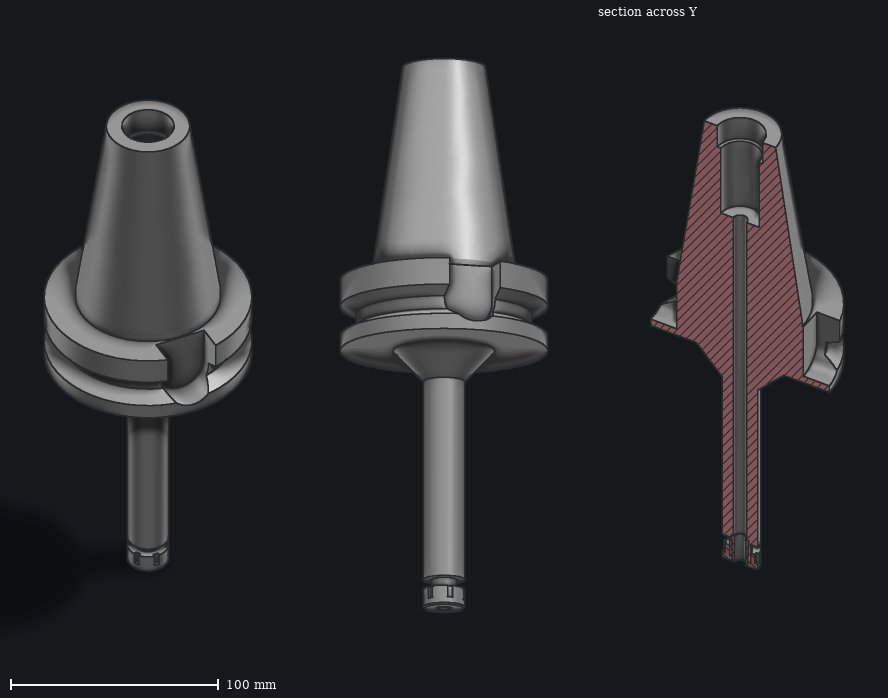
import cadquery as cq

TOTAL_HEIGHT = 266.8

TAPER_LENGTH = 102.0
GAUGE_DIAMETER = 70.0
TAPER_RATIO = 7 / 24
TAPER_TOP_DIAMETER = GAUGE_DIAMETER - TAPER_LENGTH * TAPER_RATIO
GAUGE_Z = TOTAL_HEIGHT - TAPER_LENGTH
COLLAR_LENGTH = 3.0

FLANGE_DIAMETER = 100.0
FLANGE_THICKNESS = 35.0
FLANGE_TOP_Z = GAUGE_Z - COLLAR_LENGTH
FLANGE_BOTTOM_Z = FLANGE_TOP_Z - FLANGE_THICKNESS
GROOVE_DIAMETER = 84.5
GROOVE_CENTRE_DEPTH = 20.3
GROOVE_CENTRE_Z = FLANGE_TOP_Z - GROOVE_CENTRE_DEPTH
GROOVE_FLOOR_WIDTH = 6.5
GROOVE_MOUTH_WIDTH = 14.5

KEY_WIDTH = 25.5
KEY_DEPTH_FROM_TOP = 30.7
KEY_FLOOR_X = 35.5

CONE_TOP_DIAMETER = 49.0
CONE_HEIGHT = 15.2
SHANK_DIAMETER = 20.0
SHANK_BOTTOM_Z = 14.1
NECK_DIAMETER = 12.0

MOUTH_DIAMETER = 25.0
MOUTH_DEPTH = 13.0
THREAD_DIAMETER = 21.0
THREAD_FLOOR_DEPTH = 53.4
COOLANT_DIAMETER = 7.5

NUT_DIAMETER = 20.0
NUT_HEIGHT = 9.3
NUT_CHAMFER = 0.8
NUT_SLOT_COUNT = 6
NUT_SLOT_WIDTH = 2.7
NUT_SLOT_LENGTH = 5.5
NUT_SLOT_DEPTH = 1.5

COLLET_FACE_DIAMETER = 8.0
COLLET_TOP_DIAMETER = 9.5
COLLET_LENGTH = 16.0
COLLET_BORE_DIAMETER = 6.0
NECK_BOTTOM_Z = 2.7


def cylinder(diameter, bottom, top):
    return cq.Workplane("XY").workplane(offset=bottom).circle(diameter / 2).extrude(top - bottom)


def revolve_profile(points):
    """Revolve a closed (radius, z) outline about the Z axis."""
    return cq.Workplane("XZ").polyline(points).close().revolve(360, (0, 0, 0), (0, 1, 0))


def holder_blank():
    flange_radius = FLANGE_DIAMETER / 2
    groove_radius = GROOVE_DIAMETER / 2
    return revolve_profile([
        (0, TOTAL_HEIGHT),
        (TAPER_TOP_DIAMETER / 2, TOTAL_HEIGHT),
        (GAUGE_DIAMETER / 2, GAUGE_Z),
        (GAUGE_DIAMETER / 2, FLANGE_TOP_Z),
        (flange_radius, FLANGE_TOP_Z),
        (flange_radius, GROOVE_CENTRE_Z + GROOVE_MOUTH_WIDTH / 2),
        (groove_radius, GROOVE_CENTRE_Z + GROOVE_FLOOR_WIDTH / 2),
        (groove_radius, GROOVE_CENTRE_Z - GROOVE_FLOOR_WIDTH / 2),
        (flange_radius, GROOVE_CENTRE_Z - GROOVE_MOUTH_WIDTH / 2),
        (flange_radius, FLANGE_BOTTOM_Z),
        (CONE_TOP_DIAMETER / 2, FLANGE_BOTTOM_Z),
        (SHANK_DIAMETER / 2, FLANGE_BOTTOM_Z - CONE_HEIGHT),
        (SHANK_DIAMETER / 2, SHANK_BOTTOM_Z),
        (NECK_DIAMETER / 2, SHANK_BOTTOM_Z),
        (NECK_DIAMETER / 2, NECK_BOTTOM_Z),
        (0, NECK_BOTTOM_Z),
    ])


def key_slot(side):
    """Round-bottomed slot open to the flange top and rim; side is +1 or -1 along X."""
    radius = KEY_WIDTH / 2
    arc_centre_z = FLANGE_TOP_Z - KEY_DEPTH_FROM_TOP + radius
    return (
        cq.Workplane("YZ", origin=(side * KEY_FLOOR_X, 0, 0))
        .moveTo(-radius, FLANGE_TOP_Z)
        .lineTo(-radius, arc_centre_z)
        .threePointArc((0, arc_centre_z - radius), (radius, arc_centre_z))
        .lineTo(radius, FLANGE_TOP_Z)
        .close()
        .extrude(side * FLANGE_DIAMETER / 2)
    )


def holder_bore():
    mouth_floor_z = TOTAL_HEIGHT - MOUTH_DEPTH
    thread_floor_z = TOTAL_HEIGHT - THREAD_FLOOR_DEPTH
    mouth = cylinder(MOUTH_DIAMETER, mouth_floor_z, TOTAL_HEIGHT)
    thread = cylinder(THREAD_DIAMETER, thread_floor_z, mouth_floor_z)
    coolant = cylinder(COOLANT_DIAMETER, COLLET_LENGTH, thread_floor_z)
    return mouth.union(thread).union(coolant)


def collet_envelope():
    """Solid tapered shape of the collet, narrow end at the nut face."""
    return revolve_profile([
        (0, 0),
        (COLLET_FACE_DIAMETER / 2, 0),
        (COLLET_TOP_DIAMETER / 2, COLLET_LENGTH),
        (0, COLLET_LENGTH),
    ])


def make_holder():
    body = holder_blank().cut(holder_bore()).cut(collet_envelope())
    for side in (-1, 1):
        body = body.cut(key_slot(side))
    return body


def make_nut():
    body = cylinder(NUT_DIAMETER, 0, NUT_HEIGHT).faces("<Z").edges().chamfer(NUT_CHAMFER)
    slot_inner_radius = NUT_DIAMETER / 2 - NUT_SLOT_DEPTH
    slot = cq.Workplane("XY").box(
        NUT_DIAMETER, NUT_SLOT_WIDTH, NUT_SLOT_LENGTH, centered=(False, True, False)
    ).translate((slot_inner_radius, 0, NUT_HEIGHT - NUT_SLOT_LENGTH))
    for index in range(NUT_SLOT_COUNT):
        body = body.cut(slot.rotate((0, 0, 0), (0, 0, 1), index * 360 / NUT_SLOT_COUNT))
    neck_recess = cylinder(NECK_DIAMETER, NECK_BOTTOM_Z, NUT_HEIGHT)
    return body.cut(neck_recess).cut(collet_envelope())


def make_collet():
    return collet_envelope().cut(cylinder(COLLET_BORE_DIAMETER, 0, COLLET_LENGTH))


holder = make_holder()
nut = make_nut()
collet = make_collet()

result = cq.Compound.makeCompound([holder.val(), nut.val(), collet.val()])